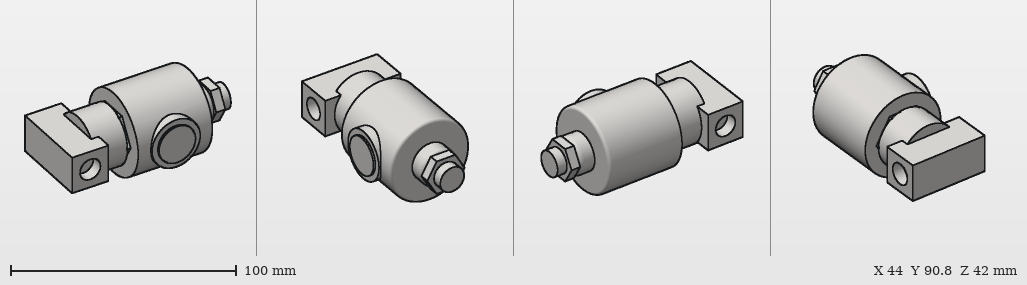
import cadquery as cq
import math


BLOCK_LENGTH = 40.0
BLOCK_SIDE = 18.9
PORT_DIAMETER = 10.6
PORT_DEPTH = 6.1
BARREL_DIAMETER = 30.0
BARREL_FRONT = 15.0
BARREL_BACK = 31.8
VALVE_HEX_FLATS = 25.4

COIL_DIAMETER = 42.0
COIL_FRONT = 33.7
COIL_BACK = 72.95
COIL_FILLET = 1.5
NECK_DIAMETER = 19.0
NECK_BACK = 81.0
NECK_FILLET = 2.4
NUT_FLATS = 17.2
NUT_BACK = 85.8
TIP_DIAMETER = 12.7
TIP_BACK = 90.85

CONNECTOR_Y = 52.8
CONNECTOR_DIAMETER = 25.0
CONNECTOR_END = 22.0
RIM_DIAMETER = 19.0
RIM_END = 23.0


def axial_plane(y):
    """Plane across the main axis, facing +Y, with its local X along global X."""
    return cq.Plane(origin=(0, y, 0), xDir=(1, 0, 0), normal=(0, 1, 0))


def cylinder_along_y(diameter, front, back):
    return cq.Workplane(axial_plane(front)).circle(diameter / 2).extrude(back - front)


def hexagon_along_y(flats, front, back):
    """Hexagonal prism with two of its corners on the X axis."""
    corners = flats / math.cos(math.pi / 6)
    return cq.Workplane(axial_plane(front)).polygon(6, corners).extrude(back - front)


def cylinder_along_x(diameter, y, z, start, end):
    plane = cq.Workplane("YZ", origin=(start, y, z))
    return plane.circle(diameter / 2).extrude(end - start)


def make_valve_body():
    block = cq.Workplane("XY").box(BLOCK_LENGTH, BLOCK_SIDE, BLOCK_SIDE)
    block = block.translate((0, BLOCK_SIDE / 2, 0))
    barrel = cylinder_along_y(BARREL_DIAMETER, BARREL_FRONT, BARREL_BACK)
    hexagon = hexagon_along_y(VALVE_HEX_FLATS, BARREL_BACK, COIL_FRONT)
    block_end = -BLOCK_LENGTH / 2
    inlet = cylinder_along_x(PORT_DIAMETER, BLOCK_SIDE / 2, 0, block_end, block_end + PORT_DEPTH)
    outlet = inlet.mirror("YZ")
    return block.union(barrel).union(hexagon).cut(inlet).cut(outlet)


def make_coil():
    housing = cylinder_along_y(COIL_DIAMETER, COIL_FRONT, COIL_BACK)
    housing = housing.faces(">Y").edges().fillet(COIL_FILLET)
    neck = cylinder_along_y(NECK_DIAMETER, COIL_BACK, NECK_BACK)
    neck = neck.faces(">Y").edges().fillet(NECK_FILLET)
    nut = hexagon_along_y(NUT_FLATS, NECK_BACK, NUT_BACK)
    tip = cylinder_along_y(TIP_DIAMETER, NUT_BACK, TIP_BACK)
    connector = cylinder_along_x(CONNECTOR_DIAMETER, CONNECTOR_Y, 0, 0, CONNECTOR_END)
    rim = cylinder_along_x(RIM_DIAMETER, CONNECTOR_Y, 0, CONNECTOR_END, RIM_END)
    return housing.union(neck).union(nut).union(tip).union(connector).union(rim)


valve_body = make_valve_body()
coil = make_coil()

result = cq.Compound.makeCompound([valve_body.val(), coil.val()])